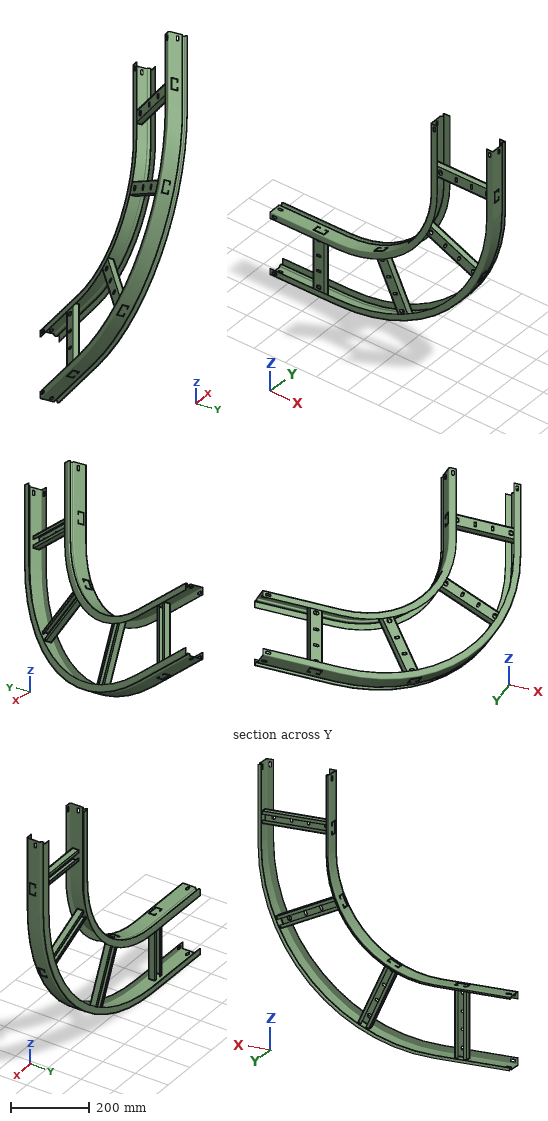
import cadquery as cq
import math

SIZE = 717.0
HEIGHT = 55.0
OUTER_RADIUS = 500.0
TRAY_WIDTH = 200.0
INNER_RADIUS = OUTER_RADIUS - TRAY_WIDTH
STRAIGHT = SIZE - OUTER_RADIUS
BEND_ANGLE = 90

RAIL_SHEET = 1.5
FLANGE = 20.0
BEND_OUTER = 3.0
BEND_INNER = BEND_OUTER - RAIL_SHEET
RIB_START = 41.5
RIB_WIDTH = 7.0
RIB_END = RIB_START + RIB_WIDTH
RIB_DEPTH = 5.0

RUNG_SHEET = 1.5
RUNG_WIDTH = 34.5
RUNG_DEPTH = 19.0
RUNG_LIP = 9.0
RUNG_FRONT = 8.0
RUNG_FROM_END = 150.5
CURVED_RUNG_ANGLES = (25, 65)
RUNG_END_SPARE = 3.0

SLOT_LENGTH = 14.0
SLOT_WIDTH = 6.5
WIDE_SLOT_WIDTH = 11.0
RUNG_SLOT_OFFSET = 24.5
RUNG_WIDE_SLOT_OFFSET = 75.0
RAIL_SLOT_FROM_END = 14.0
WEB_SLOT_Y = 26.0
FLANGE_SLOT_DEPTH = 11.0
PUNCH_REACH = 3.0


def turn(body, angle):
    """Rotate about the bend axis, from +X towards -Z."""
    return body.rotate((0, 0, 0), (0, 1, 0), angle)


def mirror_leg(body):
    """Carry something from the upright leg over to the matching place on the level leg."""
    return turn(body.mirror("XY"), BEND_ANGLE)


def block(length, depth, width):
    """Box centred on the origin, sized along X, Y and Z."""
    return cq.Workplane("XY").box(length, depth, width)


def slot_punch(plane, width):
    """Round-ended cutter centred on the origin, long side along Z, cutting square to the plane."""
    return cq.Workplane(plane).slot2D(SLOT_LENGTH, width, 90).extrude(PUNCH_REACH, both=True)


def flat(point):
    """X and Y of a vector."""
    return (point.x, point.y)


def rounded_path(sketch, corners, radii):
    """Continue a line through right-angled corners, rounding each inner corner by its own radius."""
    arc_share = 1 - math.cos(math.radians(45))
    for before, corner, after, radius in zip(corners, corners[1:], corners[2:], radii):
        arriving = (corner - before).normalized() * radius
        leaving = (after - corner).normalized() * radius
        middle = corner + (leaving - arriving) * arc_share
        sketch = sketch.lineTo(*flat(corner - arriving))
        sketch = sketch.threePointArc(flat(middle), flat(corner + leaving))
    return sketch.lineTo(*flat(corners[-1]))


def rail_section(web_radius, inward):
    """Rail sheet section at the start of the bend; inward is the X direction its flanges point in."""
    def at(depth, y):
        return cq.Vector(web_radius + inward * depth, y)

    t = RAIL_SHEET
    outside = [
        at(FLANGE, 0), at(0, 0), at(0, RIB_START), at(RIB_DEPTH, RIB_START),
        at(RIB_DEPTH, RIB_END), at(0, RIB_END), at(0, HEIGHT), at(FLANGE, HEIGHT),
    ]
    inside = [
        at(FLANGE, t), at(t, t), at(t, RIB_START - t), at(RIB_DEPTH + t, RIB_START - t),
        at(RIB_DEPTH + t, RIB_END + t), at(t, RIB_END + t), at(t, HEIGHT - t), at(FLANGE, HEIGHT - t),
    ]
    outside_radii = [BEND_OUTER, BEND_OUTER, BEND_INNER, BEND_INNER, BEND_OUTER, BEND_OUTER]
    inside_radii = [BEND_INNER, BEND_INNER, BEND_OUTER, BEND_OUTER, BEND_INNER, BEND_INNER]
    sketch = cq.Workplane("XY").moveTo(*flat(outside[0]))
    sketch = rounded_path(sketch, outside, outside_radii)
    sketch = sketch.lineTo(*flat(inside[-1]))
    return rounded_path(sketch, inside[::-1], inside_radii[::-1]).close()


def make_rail(web_radius, inward):
    """Upright leg, quarter bend and level leg of one side rail, with slots at both ends."""
    web_slot = slot_punch("YZ", SLOT_WIDTH).translate((web_radius, WEB_SLOT_Y, STRAIGHT - RAIL_SLOT_FROM_END))
    flange_slot = slot_punch("XZ", SLOT_WIDTH).translate(
        (web_radius + inward * FLANGE_SLOT_DEPTH, 0, STRAIGHT - RAIL_SLOT_FROM_END)
    )
    upright = rail_section(web_radius, inward).extrude(STRAIGHT).cut(web_slot).cut(flange_slot)
    quarter = rail_section(web_radius, inward).revolve(BEND_ANGLE, (0, 0), (0, 1))
    return upright.union(quarter, clean=False).union(mirror_leg(upright), clean=False)


def make_rung(length):
    """Radial rung centred on the tray width, with its slots in the front face."""
    hollow = block(length, RUNG_DEPTH - 2 * RUNG_SHEET, RUNG_WIDTH - 2 * RUNG_SHEET)
    mouth = block(length, RUNG_DEPTH, RUNG_WIDTH - 2 * RUNG_LIP).translate((0, RUNG_DEPTH / 2, 0))
    channel = block(length, RUNG_DEPTH, RUNG_WIDTH).cut(hollow).cut(mouth)
    for width, offset in ((SLOT_WIDTH, RUNG_SLOT_OFFSET), (WIDE_SLOT_WIDTH, RUNG_WIDE_SLOT_OFFSET)):
        for side in (-1, 1):
            slot = slot_punch("XZ", width).translate((side * offset, -RUNG_DEPTH / 2, 0))
            channel = channel.cut(slot)
    middle = (INNER_RADIUS + OUTER_RADIUS) / 2
    return channel.translate((middle, RUNG_FRONT + RUNG_DEPTH / 2, 0))


def make_curved_rung(angle):
    """Rung in the bend: its ends are trimmed flush with the outside of the curved rail webs."""
    bend_space = cq.Workplane("XZ").circle(OUTER_RADIUS).circle(INNER_RADIUS).extrude(-HEIGHT)
    return turn(make_rung(TRAY_WIDTH + RUNG_END_SPARE).intersect(bend_space), angle)


upright_rung = make_rung(TRAY_WIDTH).translate((0, 0, STRAIGHT - RUNG_FROM_END))
rungs = [upright_rung, mirror_leg(upright_rung)]
for rung_angle in CURVED_RUNG_ANGLES:
    rungs.append(make_curved_rung(rung_angle))

inner_rail = make_rail(INNER_RADIUS, 1)
outer_rail = make_rail(OUTER_RADIUS, -1)
for rung in rungs:
    inner_rail = inner_rail.cut(rung, clean=False)
    outer_rail = outer_rail.cut(rung, clean=False)

bodies = [inner_rail, outer_rail, *rungs]
result = cq.Compound.makeCompound(
    [body.translate((STRAIGHT, 0, OUTER_RADIUS)).solids().val() for body in bodies]
)